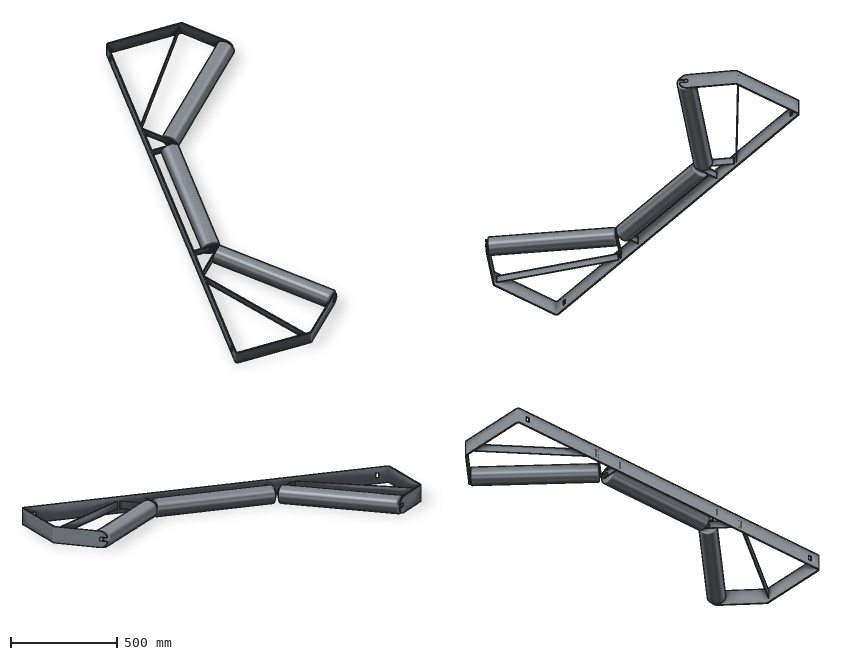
import cadquery as cq
import math

frame_width = 1890.0
strip_height = 80.0
strip_thickness = 6.0
bend_radius = 13.0
arm_stub = 38.0
base_inner_y = strip_thickness

bar_height = 38.0
bar_thickness = 5.0

roller_diameter = 89.0
roller_length = 603.0
roller_edge_radius = 5.0
shaft_diameter = 19.0
inner_gap = 2.0
outer_gap = 5.0
inner_reach = roller_length / 2 + inner_gap + bar_thickness
outer_reach = roller_length / 2 + outer_gap + strip_thickness

middle_roller_y = 98.0
middle_roller_z = -5.0
wing_x = 554.0
wing_y = 325.0
wing_z = -2.0
wing_drop = 8.0
wing_angle = math.radians(45)

support_overhang = 32.0

brace_foot_x = 457.0
brace_head_drop = 15.0

hole_width = 17.0
hole_height = 23.0
hole_x = 883.0

axis_x = math.cos(wing_angle)
axis_y = math.sin(wing_angle)
arm_x = -axis_y
arm_y = axis_x
half_width = frame_width / 2
arm_foot_x = wing_x + outer_reach * axis_x
arm_foot_y = wing_y + outer_reach * axis_y
arm_to_leg = (half_width - arm_foot_x) / -arm_x
corner_y = arm_foot_y - arm_to_leg * arm_y


def middle_plane():
    return cq.Plane(origin=(0, middle_roller_y, middle_roller_z), xDir=(0, 1, 0), normal=(1, 0, 0))


def wing_plane(side):
    """Plane across a wing roller at mid-length; its X points along the supports, away from the base."""
    return cq.Plane(
        origin=(side * wing_x, wing_y, wing_z),
        xDir=(side * arm_x, arm_y, 0),
        normal=(side * axis_x, axis_y, wing_drop / roller_length),
    )


def cylinder(plane, diameter, start, end):
    return cq.Workplane(plane).workplane(offset=start).circle(diameter / 2).extrude(end - start)


def make_roller(plane, shaft_reach):
    """Roller with rounded rims; its shaft runs from the inner support to `shaft_reach` past mid-length."""
    drum = cylinder(plane, roller_diameter, -roller_length / 2, roller_length / 2)
    drum = drum.edges("%CIRCLE").fillet(roller_edge_radius)
    shaft = cylinder(plane, shaft_diameter, -inner_reach, shaft_reach)
    return drum.union(shaft)


def make_shaft_slot(plane):
    """Cutter for the round-bottomed slots in both supports of one roller, open away from the base."""
    reach = 2 * support_overhang
    depth = outer_reach + strip_thickness
    bottom = cq.Workplane(plane).circle(shaft_diameter / 2).extrude(depth, both=True)
    mouth = cq.Workplane(plane).center(reach / 2, 0).rect(reach, shaft_diameter).extrude(depth, both=True)
    return bottom.union(mouth)


def make_support(foot, direction, inward, length, height, thickness):
    """Round-ended upright plate: `foot` lies on its outer face, thickness goes along `inward`."""
    plane = cq.Plane(origin=(*foot, 0), xDir=(*direction, 0), normal=(*inward, 0))
    radius = height / 2
    plate = (
        cq.Workplane(plane)
        .moveTo(0, -radius)
        .lineTo(length - radius, -radius)
        .threePointArc((length, 0), (length - radius, radius))
        .lineTo(0, radius)
        .close()
        .extrude(thickness)
    )
    return plate


def extrude_outline(points, height):
    """Upright body over a closed outline, centred on Z = 0."""
    return cq.Workplane("XY", origin=(0, 0, -height / 2)).polyline(points).close().extrude(height)


def fillet_corners(strip, corners, radius):
    """Round the upright edges at the given (x, y) corners and at their mirror images."""
    for x, y in corners:
        for side in (-1, 1):
            edge = strip.edges("|Z").edges(cq.selectors.NearestToPointSelector((side * x, y, 0)))
            strip = edge.fillet(radius)
    return strip


def make_bent_strip():
    """Base with a side leg bent up at each end and a stub of the wing arm bent inward from each leg."""
    inner_half = half_width - strip_thickness
    inner_corner_y = corner_y - strip_thickness * math.tan(wing_angle / 2)
    stub_x = half_width + arm_stub * arm_x
    stub_y = corner_y + arm_stub * arm_y
    right_outer = [(half_width, 0), (half_width, corner_y), (stub_x, stub_y)]
    right_inner = [
        (stub_x - strip_thickness * axis_x, stub_y - strip_thickness * axis_y),
        (inner_half, inner_corner_y),
        (inner_half, base_inner_y),
    ]
    right_side = right_outer + right_inner
    left_side = [(-x, y) for x, y in reversed(right_side)]
    strip = extrude_outline(right_side + left_side, strip_height)
    strip = fillet_corners(strip, [(half_width, 0), (half_width, corner_y)], bend_radius)
    inner_bends = [(inner_half, base_inner_y), (inner_half, inner_corner_y)]
    return fillet_corners(strip, inner_bends, bend_radius - strip_thickness)


def make_brace(side):
    """Flat bar from the base up to the side leg just below the wing arm."""
    foot = (side * brace_foot_x, base_inner_y)
    head = (side * (half_width - strip_thickness), corner_y - brace_head_drop)
    span_x = head[0] - foot[0]
    span_y = head[1] - foot[1]
    span = math.hypot(span_x, span_y)
    offset_x = -span_y / span * bar_thickness / 2
    offset_y = span_x / span * bar_thickness / 2
    sink_x = span_x / span * strip_thickness / 2
    sink_y = span_y / span * strip_thickness / 2
    return extrude_outline(
        [
            (foot[0] - sink_x + offset_x, foot[1] - sink_y + offset_y),
            (head[0] + sink_x + offset_x, head[1] + sink_y + offset_y),
            (head[0] + sink_x - offset_x, head[1] + sink_y - offset_y),
            (foot[0] - sink_x - offset_x, foot[1] - sink_y - offset_y),
        ],
        bar_height,
    )


def make_side_supports(side):
    """Wing arm, slanted inner support and upright middle support on one side."""
    along = (side * arm_x, arm_y)
    arm_start = arm_stub / 2
    wing_arm = make_support(
        (side * (half_width + arm_start * arm_x), corner_y + arm_start * arm_y),
        along,
        (-side * axis_x, -axis_y),
        arm_to_leg - arm_start + support_overhang,
        strip_height,
        strip_thickness,
    )
    inner_x = wing_x - inner_reach * axis_x
    inner_y = wing_y - inner_reach * axis_y
    rise = (inner_y - strip_thickness / 2) / arm_y
    slanted = make_support(
        (side * (inner_x - rise * arm_x), strip_thickness / 2),
        along,
        (side * axis_x, axis_y),
        rise + support_overhang,
        bar_height,
        bar_thickness,
    )
    upright = make_support(
        (side * inner_reach, 0), (0, 1), (-side, 0), middle_roller_y + support_overhang, bar_height, bar_thickness
    )
    return wing_arm.union(slanted).union(upright)


def make_frame():
    frame = make_bent_strip()
    for side in (-1, 1):
        frame = frame.union(make_side_supports(side)).union(make_brace(side))
    for plane in roller_planes:
        frame = frame.cut(make_shaft_slot(plane))
    holes = (
        cq.Workplane("XZ")
        .pushPoints([(-hole_x, 0), (hole_x, 0)])
        .rect(hole_width, hole_height)
        .extrude(-base_inner_y)
    )
    return frame.cut(holes)


roller_planes = [wing_plane(-1), middle_plane(), wing_plane(1)]
frame = make_frame()
shaft_reaches = [outer_reach, inner_reach, outer_reach]
rollers = [make_roller(plane, reach) for plane, reach in zip(roller_planes, shaft_reaches)]

result = cq.Compound.makeCompound([frame.val(), *[roller.val() for roller in rollers]])